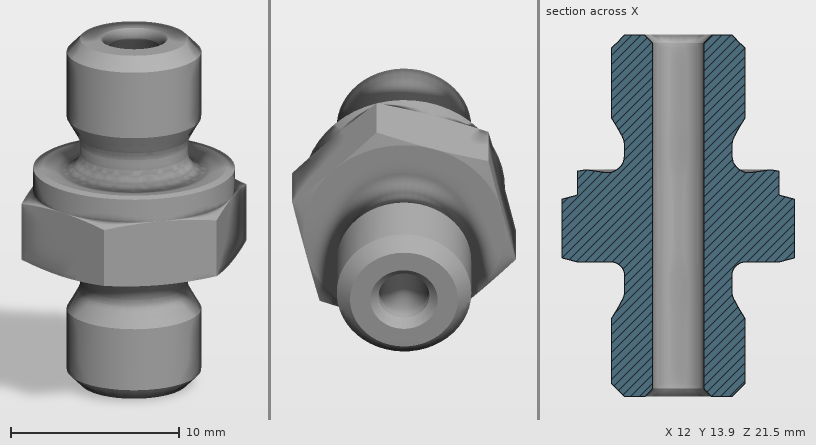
import cadquery as cq
import math

total_height = 21.5
stud_length = 8.0
stud_radius = 8.0 / 2
tip_radius = 6.4 / 2
tip_chamfer = stud_radius - tip_radius

neck_radius = 6.4 / 2
flank_angle = math.radians(30)
flank_height = (stud_radius - neck_radius) / math.tan(flank_angle)
upper_undercut = 3.1
lower_undercut = 3.38
upper_fillet = 0.99
lower_fillet = 0.8

collar_radius = 12.0 / 2
collar_height = 1.5
ring_edge_radius = 5.5
ring_edge_slope = math.radians(10)
dish_slope = math.radians(8)
ring_edge_drop = (collar_radius - ring_edge_radius) * math.tan(ring_edge_slope)
dish_depth = (ring_edge_radius - neck_radius) * math.tan(dish_slope)

across_flats = 12.0
corner_slope = math.radians(15)
flat_radius = across_flats / 2
corner_radius = flat_radius / math.cos(math.pi / 6)
corner_drop = (corner_radius - flat_radius) * math.tan(corner_slope)

bore_radius = 3.0 / 2
mouth_radius = 4.0 / 2
mouth_depth = mouth_radius - bore_radius

match_tolerance = 0.0002

hex_bottom = stud_length
collar_top = total_height - stud_length
hex_top = collar_top - collar_height
lower_flank_start = hex_bottom - lower_undercut
lower_neck_start = lower_flank_start + flank_height
upper_flank_end = collar_top + upper_undercut
upper_neck_end = upper_flank_end - flank_height
dish_bottom = collar_top - dish_depth


def revolve_profile(points):
    """Turn a closed (radius, height) outline about the Z axis."""
    return cq.Workplane("XZ").polyline(points).close().revolve(360, (0, 0, 0), (0, 1, 0))


def make_hexagon():
    """Hexagon with corners on the Y axis, its top and bottom corners turned off."""
    prism = (
        cq.Workplane("XY", origin=(0, 0, hex_bottom))
        .polygon(6, 2 * corner_radius)
        .extrude(hex_top - hex_bottom)
        .rotate((0, 0, 0), (0, 0, 1), 30)
    )
    envelope = revolve_profile([
        (0, hex_bottom),
        (flat_radius, hex_bottom),
        (corner_radius, hex_bottom + corner_drop),
        (corner_radius, hex_top - corner_drop),
        (flat_radius, hex_top),
        (0, hex_top),
    ])
    return prism.intersect(envelope)


def make_lower_stud():
    return revolve_profile([
        (0, 0),
        (tip_radius, 0),
        (stud_radius, tip_chamfer),
        (stud_radius, lower_flank_start),
        (neck_radius, lower_neck_start),
        (neck_radius, hex_bottom),
        (0, hex_bottom),
    ])


def make_collar_and_upper_stud():
    return revolve_profile([
        (0, hex_top),
        (collar_radius, hex_top),
        (collar_radius, collar_top - ring_edge_drop),
        (ring_edge_radius, collar_top),
        (neck_radius, dish_bottom),
        (neck_radius, upper_neck_end),
        (stud_radius, upper_flank_end),
        (stud_radius, total_height - tip_chamfer),
        (tip_radius, total_height),
        (0, total_height),
    ])


def fillet_neck_edges(body, heights, radius):
    """Round the circular neck edges lying at the given heights."""
    def is_neck_edge(edge):
        if edge.geomType() != "CIRCLE":
            return False
        at_height = any(abs(edge.Center().z - height) < match_tolerance for height in heights)
        return at_height and abs(edge.radius() - neck_radius) < match_tolerance

    return body.edges().filter(is_neck_edge).fillet(radius)


def make_bore():
    return revolve_profile([
        (0, 0),
        (mouth_radius, 0),
        (bore_radius, mouth_depth),
        (bore_radius, total_height - mouth_depth),
        (mouth_radius, total_height),
        (0, total_height),
    ])


body = make_hexagon().union(make_lower_stud()).union(make_collar_and_upper_stud())
body = fillet_neck_edges(body, (lower_neck_start, hex_bottom), lower_fillet)
body = fillet_neck_edges(body, (dish_bottom, upper_neck_end), upper_fillet)

result = body.cut(make_bore())